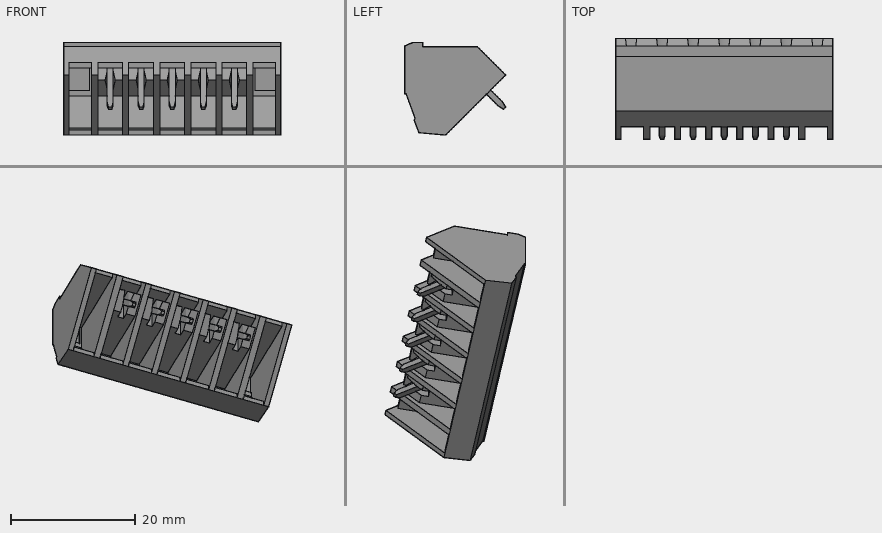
import cadquery as cq
import math


length = 35.0
bay_count = 7
pitch = length / bay_count
bay_centres = [(i - (bay_count - 1) / 2) * pitch for i in range(bay_count)]
end_wall = 0.88
outer_partition = 1.1
inner_partition = 0.98

total_depth = 16.28
total_height = 14.95
ridge_drop = 0.65
ridge_front = 2.95
bevel_depth = 1.25
bevel_drop = 0.55
back_bottom = 6.65
back_step = 0.2
hook_depth = 1.65
hook_height = 2.73
hook_step = 0.15
hook_drop = 0.3
rear_foot_depth = 2.28
rear_foot_height = 0.4
nose_height = 9.7
roof_height = total_height - ridge_drop
foot_depth = total_depth - nose_height
chamfer_start = total_depth - (roof_height - nose_height)

shell = 0.88
ceiling = 10.8
lintel = 0.88
lintel_front = chamfer_start + roof_height - (ceiling + lintel)
cavity_back = 1.5
cavity_knee = 6.35
floor_back = 3.4
floor_slope = rear_foot_height / (foot_depth - rear_foot_depth)
floor_back_height = shell + floor_slope * (foot_depth - floor_back)

recess_depth = 0.35
recess_sill = 0.88
recess_margin = 0.3

block_recess = 0.88
block_corner_height = 8.85
block_line = foot_depth - block_recess * math.sqrt(2)
groove_mouth = 1.65
groove_taper_depth = 1.47
groove_back = 10.5

pin_axis_line = 20.45
pin_size = 0.98
pin_tip_size = 0.52
pin_taper = 1.0
pin_bend_radius = 0.77
pin_bend_height = 10.15
pin_post_top = 12.25

notch_back_width = 1.82
notch_front_width = 1.5
flat_notch_drop = 1.82
round_notch_start_drop = 0.3
round_notch_drop = 2.45
round_notch_radius = 2.62

clearance = 1.75


def section(points, x_start, x_end):
    """Prism along X whose section is a list of (depth, height) points."""
    outline = [(-depth, height) for depth, height in points]
    return cq.Workplane("YZ", origin=(x_start, 0, 0)).polyline(outline).close().extrude(x_end - x_start)


def plan(points, x_centre, z_bottom, z_top):
    """Vertical prism whose plan is a list of (x offset, depth) points."""
    outline = [(x_centre + x, -depth) for x, depth in points]
    return cq.Workplane("XY", origin=(0, 0, z_bottom)).polyline(outline).close().extrude(z_top - z_bottom)


def partition_half(boundary):
    """Half the wall thickness at a bay boundary, numbered from 0 at the -X end."""
    from_end = min(boundary, bay_count - boundary)
    if from_end == 0:
        return end_wall
    if from_end == 1:
        return outer_partition / 2
    return inner_partition / 2


def bay_span(i):
    """X limits of the open space in a bay, numbered from 0 at the -X end."""
    left = -length / 2 + i * pitch + partition_half(i)
    right = -length / 2 + (i + 1) * pitch - partition_half(i + 1)
    return left, right


def housing():
    """Solid housing, before the bays are opened."""
    return section(
        [
            (0, back_bottom),
            (0, total_height - bevel_drop),
            (bevel_depth, total_height),
            (ridge_front, total_height),
            (ridge_front, roof_height),
            (chamfer_start, roof_height),
            (total_depth, nose_height),
            (foot_depth, 0),
            (rear_foot_depth, rear_foot_height),
            (hook_depth - hook_step, hook_height - hook_drop),
            (hook_depth, hook_height),
            (back_step, back_bottom),
        ],
        -length / 2,
        length / 2,
    )


def bay_cavity(i):
    """Hollow of a bay, open through the mounting face and set back behind the chamfer."""
    left, right = bay_span(i)
    outside = total_depth + clearance
    return section(
        [
            (foot_depth, -clearance),
            (foot_depth, shell),
            (floor_back, floor_back_height),
            (cavity_back, cavity_knee),
            (cavity_back, ceiling),
            (lintel_front, ceiling),
            (lintel_front, total_height),
            (outside, total_height),
            (outside, -clearance),
        ],
        left,
        right,
    )


def end_recess(i):
    """Recess beside the end wall, reaching up to the bay ceiling."""
    left, right = bay_span(i)
    if i == 0:
        right -= recess_margin
    else:
        left += recess_margin
    back = cavity_back - recess_depth
    sill = cavity_knee + recess_sill
    return section([(back, sill), (back, ceiling), (cavity_back, ceiling), (cavity_back, sill)], left, right)


def pin_block(i):
    """Block with its lower face parallel to the mounting face and its upper face square to that."""
    left, right = bay_span(i)
    corner_depth = block_line + block_corner_height
    return section(
        [
            (block_line + cavity_knee, cavity_knee),
            (corner_depth, block_corner_height),
            (corner_depth - (ceiling - block_corner_height), ceiling),
            (cavity_back, ceiling),
            (cavity_back, cavity_knee),
        ],
        left,
        right,
    )


def funnel_groove(x):
    """Vertical groove narrowing from the block's front corner to the pin width."""
    mouth_depth = block_line + block_corner_height
    throat_depth = mouth_depth - groove_taper_depth
    mouth = groove_mouth / 2
    throat = pin_size / 2
    return plan(
        [
            (-throat, groove_back),
            (-throat, throat_depth),
            (-mouth, mouth_depth),
            (mouth, mouth_depth),
            (throat, throat_depth),
            (throat, groove_back),
        ],
        x,
        cavity_knee,
        ceiling,
    )


def pin(x):
    """Square pin: a vertical post bent 45 degrees forward, ending in a tapered tip."""
    diagonal = math.sqrt(0.5)
    half = pin_size / 2
    tip_depth = total_depth - diagonal * pin_tip_size / 2
    tip_height = pin_axis_line - tip_depth
    taper_depth = tip_depth - diagonal * pin_taper
    taper_height = tip_height + diagonal * pin_taper

    axis_radius = pin_bend_radius + half
    axis_height = pin_bend_height - diagonal * half
    centre_depth = pin_axis_line - axis_height + diagonal * axis_radius
    centre_height = axis_height + diagonal * axis_radius

    def on_bend(radius, angle):
        """(Y, Z) point of the bend, the angle running from the post down to the inclined shank."""
        turn = math.radians(angle)
        return radius * math.cos(turn) - centre_depth, centre_height - radius * math.sin(turn)

    def beside_axis(offset):
        """(Y, Z) point at the end of the shank, offset square to its axis."""
        return diagonal * offset - taper_depth, taper_height - diagonal * offset

    inner = pin_bend_radius
    outer = pin_bend_radius + pin_size
    shank = (
        cq.Workplane("YZ", origin=(x - half, 0, 0))
        .moveTo(inner - centre_depth, pin_post_top)
        .lineTo(*on_bend(inner, 0))
        .threePointArc(on_bend(inner, 22.5), on_bend(inner, 45))
        .lineTo(*beside_axis(-half))
        .lineTo(*beside_axis(half))
        .lineTo(*on_bend(outer, 45))
        .threePointArc(on_bend(outer, 22.5), on_bend(outer, 0))
        .lineTo(outer - centre_depth, pin_post_top)
        .close()
        .extrude(pin_size)
    )
    end_plane = cq.Plane(origin=(x, -taper_depth, taper_height), xDir=(1, 0, 0), normal=(0, -1, -1))
    tip = (
        cq.Workplane(end_plane)
        .rect(pin_size, pin_size)
        .workplane(offset=pin_taper)
        .rect(pin_tip_size, pin_tip_size)
        .loft()
    )
    return shank.union(tip)


def notch_walls(x, bottom):
    """Tapered space between the side walls of a notch in the top back edge."""
    back = notch_back_width / 2
    front = notch_front_width / 2
    return plan([(-back, 0), (back, 0), (front, bevel_depth), (-front, bevel_depth)], x, bottom, total_height)


def flat_notch(x):
    """Notch whose flat floor falls from the ridge toward the back face."""
    above_floor = section(
        [(bevel_depth, total_height), (0, total_height), (0, total_height - flat_notch_drop)],
        x - pitch / 2,
        x + pitch / 2,
    )
    return notch_walls(x, total_height - flat_notch_drop).intersect(above_floor)


def round_notch(x):
    """Notch whose steep floor is a shallow hollow, part of a cylinder."""
    bottom = total_height - round_notch_start_drop - round_notch_drop
    incline = cq.Vector(0, -bevel_depth, round_notch_drop).normalized()
    outward = cq.Vector(0, round_notch_drop, bevel_depth).normalized()
    axis_point = cq.Vector(0, 0, bottom) + outward * round_notch_radius
    start = axis_point + cq.Vector(x, 0, 0) - incline * total_height
    hollow = cq.Solid.makeCylinder(round_notch_radius, 2 * total_height, start, incline)
    return notch_walls(x, bottom).intersect(cq.Workplane(hollow))


result = housing()
for bay in range(bay_count):
    result = result.cut(bay_cavity(bay))

for bay in (0, bay_count - 1):
    result = result.cut(end_recess(bay)).cut(flat_notch(bay_centres[bay]))

for bay in range(1, bay_count - 1):
    centre = bay_centres[bay]
    grooved_block = pin_block(bay).cut(funnel_groove(centre))
    result = result.union(grooved_block).union(pin(centre)).cut(round_notch(centre))